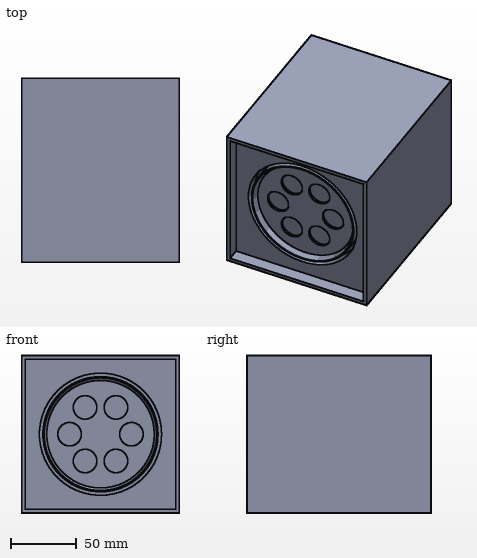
import cadquery as cq

width = 120.0
length = 140.0
wall = 3.0
recess_depth = 10.0

groove_outer_radius = 46.5
lip_outer_radius = 43.8
groove_depth = 10.0
bowl_mouth_radius = 42.8
bowl_floor_radius = 40.9
bowl_depth = 4.8

lens_count = 6
lens_radius = 9.0
lens_circle_radius = 23.5
lens_depth = 2.0

front_y = -length / 2
recess_y = front_y + recess_depth
bowl_y = recess_y + bowl_depth


def plane_at(y):
    """Work plane at the given Y, facing +Y into the housing."""
    return cq.Workplane(cq.Plane(origin=(0, y, 0), xDir=(1, 0, 0), normal=(0, 1, 0)))


def make_housing():
    block = cq.Workplane("XY").box(width, length, width)
    opening = width - 2 * wall
    return block.cut(plane_at(front_y).rect(opening, opening).extrude(recess_depth))


def make_groove():
    return plane_at(recess_y).circle(groove_outer_radius).circle(lip_outer_radius).extrude(groove_depth)


def make_bowl():
    """Conical bowl that narrows from its mouth to its flat floor."""
    profile = [
        (0, recess_y),
        (bowl_mouth_radius, recess_y),
        (bowl_floor_radius, bowl_y),
        (0, bowl_y),
    ]
    return cq.Workplane("XY").polyline(profile).close().revolve(360, (0, 0, 0), (0, 1, 0))


def make_lens_pockets():
    centers = plane_at(bowl_y).polarArray(lens_circle_radius, 0, 360, lens_count)
    return centers.circle(lens_radius).extrude(lens_depth)


result = make_housing().cut(make_groove()).cut(make_bowl()).cut(make_lens_pockets())